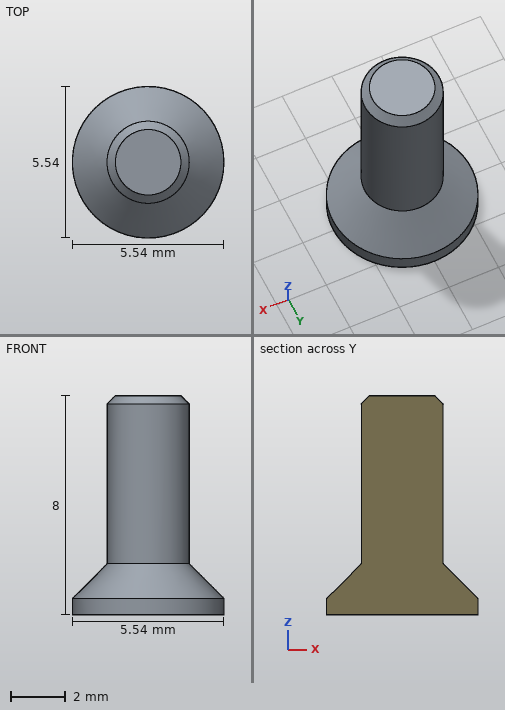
import cadquery as cq

total_length = 8.0
head_diameter = 5.54
shank_diameter = 3.0
rim_height = 0.6
tip_chamfer = 0.3

head_radius = head_diameter / 2
shank_radius = shank_diameter / 2
cone_height = head_radius - shank_radius
cone_top = rim_height + cone_height

profile = (
    cq.Workplane("XZ")
    .lineTo(head_radius, 0)
    .lineTo(head_radius, rim_height)
    .lineTo(shank_radius, cone_top)
    .lineTo(shank_radius, total_length - tip_chamfer)
    .lineTo(shank_radius - tip_chamfer, total_length)
    .lineTo(0, total_length)
    .close()
)

result = profile.revolve(360, (0, 0), (0, 1))